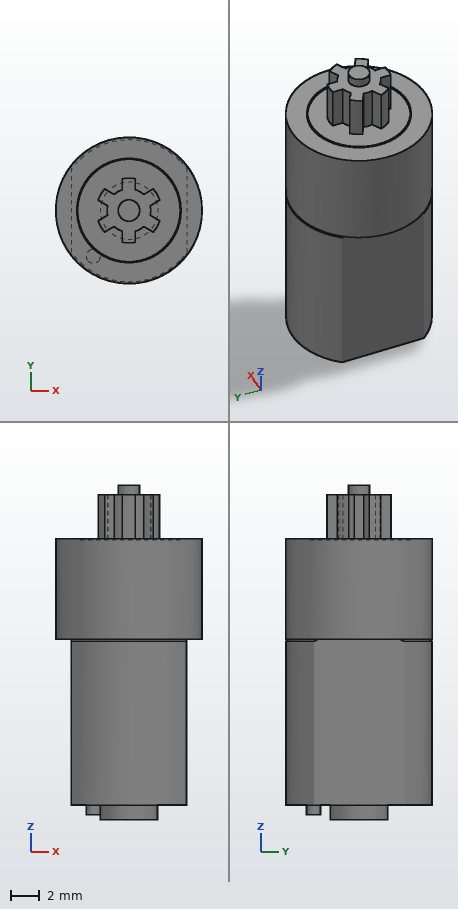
import cadquery as cq

total_height = 23.23

motor_diameter = 10.15
flat_spacing = 8.01
motor_bottom = 1.02
motor_corner_radius = 0.2
motor_top_chamfer = 0.15

rear_boss_diameter = 4.0
pin_diameter = 0.98
pin_x = -2.49
pin_y = -3.15
pin_bottom = 0.35

gearbox_diameter = 10.17
gearbox_bottom = 12.52
gearbox_top = 19.51
groove_outer_diameter = 7.25
groove_width = 0.07
groove_depth = 0.07

pinion_top = 22.58
pinion_tip_diameter = 4.5
pinion_root_diameter = 3.02
tooth_count = 6
tooth_width = 0.9
shaft_diameter = 1.49


def cylinder(diameter, bottom, top, x=0, y=0):
    """Upright cylinder between two heights."""
    return cq.Workplane("XY", origin=(x, y, bottom)).circle(diameter / 2).extrude(top - bottom)


def make_motor():
    height = gearbox_bottom - motor_bottom
    slab = (
        cq.Workplane("XY", origin=(0, 0, motor_bottom))
        .rect(flat_spacing, motor_diameter)
        .extrude(height)
    )
    barrel = cylinder(motor_diameter, motor_bottom, gearbox_bottom)
    can = barrel.intersect(slab).edges("|Z").fillet(motor_corner_radius)
    return can.intersect(barrel.faces(">Z").chamfer(motor_top_chamfer))


def make_gearbox():
    groove_bottom = gearbox_top - groove_depth
    groove_inner_diameter = groove_outer_diameter - 2 * groove_width
    groove = cylinder(groove_outer_diameter, groove_bottom, gearbox_top).cut(
        cylinder(groove_inner_diameter, groove_bottom, gearbox_top)
    )
    return cylinder(gearbox_diameter, gearbox_bottom, gearbox_top).cut(groove)


def make_pinion():
    pinion = cylinder(pinion_root_diameter, gearbox_top, pinion_top)
    tip_cylinder = cylinder(pinion_tip_diameter, gearbox_top, pinion_top)
    bar = (
        cq.Workplane("XY", origin=(0, 0, gearbox_top))
        .rect(tooth_width, pinion_tip_diameter)
        .extrude(pinion_top - gearbox_top)
        .intersect(tip_cylinder)
    )
    for index in range(tooth_count // 2):
        angle = index * 360 / tooth_count
        pinion = pinion.union(bar.rotate((0, 0, 0), (0, 0, 1), angle))
    return pinion


rear_boss = cylinder(rear_boss_diameter, 0, motor_bottom)
terminal_pin = cylinder(pin_diameter, pin_bottom, motor_bottom, pin_x, pin_y)
shaft_end = cylinder(shaft_diameter, pinion_top, total_height)

result = (
    make_motor()
    .union(rear_boss)
    .union(terminal_pin)
    .union(make_gearbox())
    .union(make_pinion())
    .union(shaft_end)
)